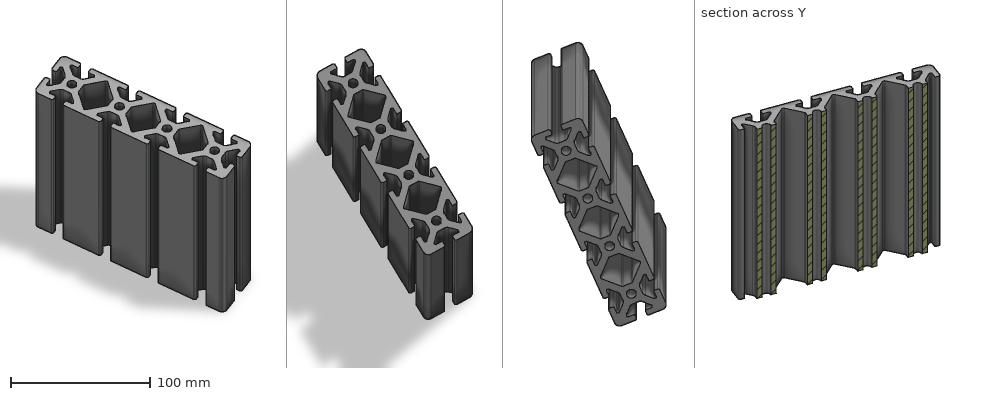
import cadquery as cq

cell_count = 4
depth = 40.0
width = cell_count * depth
length = 150.0
corner_radius = 4.0

slot_opening = 8.2
lip_thickness = 4.5
lip_outer_radius = 1.5
lip_inner_radius = 0.6
undercut_half_width = 10.0
undercut_radius = 0.8
floor_half_width = 3.8
floor_radius = 3.7

core_half_width = 7.7
bore_diameter = 6.9

chamber_tip_half_height = 16.2
chamber_tip_radius = 1.6
chamber_side_radius = 1.3

half_cell = depth / 2
lip_y = half_cell - lip_thickness
cell_centers = [(i + 0.5) * depth - width / 2 for i in range(cell_count)]
chamber_centers = [(i + 1) * depth - width / 2 for i in range(cell_count - 1)]


def extrude_outline(points):
    """Closed prism along Z, centred on the XY plane."""
    return cq.Workplane("XY").polyline(points).close().extrude(length / 2, both=True)


def make_body():
    return cq.Workplane("XY").box(width, depth, length).edges("|Z").fillet(corner_radius)


def make_undercut():
    """Wide inner part of a slot that opens toward +Y, for a cell centred on the origin."""
    side_y = core_half_width + undercut_half_width - floor_half_width
    undercut = extrude_outline([
        (floor_half_width, core_half_width),
        (undercut_half_width, side_y),
        (undercut_half_width, lip_y),
        (-undercut_half_width, lip_y),
        (-undercut_half_width, side_y),
        (-floor_half_width, core_half_width),
    ])
    undercut = undercut.edges("|Z and <Y").fillet(floor_radius)
    return undercut.edges("|Z and (>X or <X)").fillet(undercut_radius)


def make_mouth():
    """Narrow part of the slot between the lips, flared by their rounded edges."""
    half_opening = slot_opening / 2
    inner_x = half_opening + lip_inner_radius
    outer_x = half_opening + lip_outer_radius
    return (
        cq.Workplane("XY")
        .moveTo(inner_x, lip_y)
        .radiusArc((half_opening, lip_y + lip_inner_radius), lip_inner_radius)
        .lineTo(half_opening, half_cell - lip_outer_radius)
        .radiusArc((outer_x, half_cell), lip_outer_radius)
        .lineTo(-outer_x, half_cell)
        .radiusArc((-half_opening, half_cell - lip_outer_radius), lip_outer_radius)
        .lineTo(-half_opening, lip_y + lip_inner_radius)
        .radiusArc((-inner_x, lip_y), lip_inner_radius)
        .close()
        .extrude(length / 2, both=True)
    )


def make_chamber():
    """Diamond with blunt left and right ends, centred on the origin."""
    side_x = half_cell - core_half_width
    side_half_height = chamber_tip_half_height - side_x
    chamber = extrude_outline([
        (0, chamber_tip_half_height),
        (side_x, side_half_height),
        (side_x, -side_half_height),
        (0, -chamber_tip_half_height),
        (-side_x, -side_half_height),
        (-side_x, side_half_height),
    ])
    chamber = chamber.edges("|Z and (>Y or <Y)").fillet(chamber_tip_radius)
    return chamber.edges("|Z and (>X or <X)").fillet(chamber_side_radius)


def place_slot(slot, angle, center_x):
    """Turn the +Y slot about its cell axis and move it to its cell."""
    return slot.rotate((0, 0, 0), (0, 0, 1), angle).translate((center_x, 0, 0))


result = make_body()

slot = make_undercut().union(make_mouth())
for center_x in cell_centers:
    result = result.cut(place_slot(slot, 0, center_x))
    result = result.cut(place_slot(slot, 180, center_x))
result = result.cut(place_slot(slot, 90, cell_centers[0]))
result = result.cut(place_slot(slot, -90, cell_centers[-1]))

chamber = make_chamber()
for center_x in chamber_centers:
    result = result.cut(chamber.translate((center_x, 0, 0)))

bore = cq.Workplane("XY").circle(bore_diameter / 2).extrude(length / 2, both=True)
for center_x in cell_centers:
    result = result.cut(bore.translate((center_x, 0, 0)))